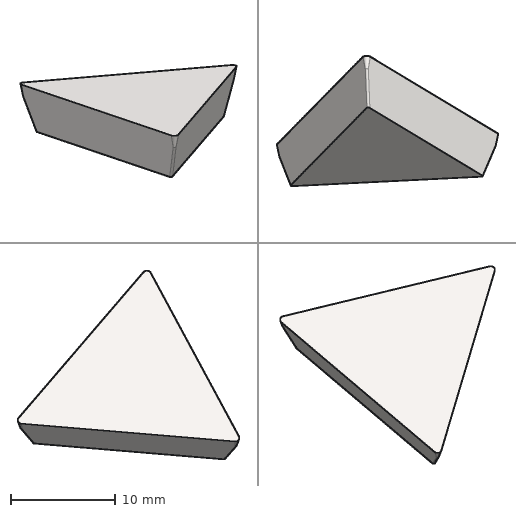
import cadquery as cq
import math

width = 21.4
height = 4.75
clearance_angle = 11.0
nose_radius = 0.4
nose_depth = 1.25

draft = math.tan(math.radians(clearance_angle))
lower_radius = nose_radius - nose_depth * draft

nose_center_spacing = width - 2 * nose_radius
top_inradius = nose_center_spacing / (2 * math.sqrt(3)) + nose_radius


def polar(radius, degrees):
    """Vector in the XY plane at the given angle from +X."""
    angle = math.radians(degrees)
    return cq.Vector(radius * math.cos(angle), radius * math.sin(angle), 0)


def corner_arc(depth, radius, corner_angle):
    """Start, middle and end of a corner's rounding at a depth below the top face."""
    inradius = top_inradius - depth * draft
    center_distance = 2 * (inradius - radius)
    center = polar(center_distance, corner_angle) + cq.Vector(0, 0, height - depth)
    return [center + polar(radius, corner_angle + turn) for turn in (-60, 0, 60)]


def outline(arcs):
    """Three corner arcs joined by straight sides."""
    edges = []
    for index, arc in enumerate(arcs):
        edges.append(cq.Edge.makeThreePointArc(*arc))
        edges.append(cq.Edge.makeLine(arcs[index - 1][-1], arc[0]))
    return cq.Wire.assembleEdges(edges)


def corner_face(lower_arc, upper_arc):
    """Ruled face between two corner arcs."""
    lower_edge = cq.Edge.makeThreePointArc(*lower_arc)
    upper_edge = cq.Edge.makeThreePointArc(*upper_arc)
    return cq.Face.makeRuledSurface(lower_edge, upper_edge)


levels = ((height, lower_radius), (nose_depth, lower_radius), (0, nose_radius))
corner_angles = (90, 210, 330)
arcs_by_level = [
    [corner_arc(depth, radius, angle) for angle in corner_angles]
    for depth, radius in levels
]

faces = [
    cq.Face.makeFromWires(outline(arcs_by_level[0])),
    cq.Face.makeFromWires(outline(arcs_by_level[-1])),
]

for lower_arcs, upper_arcs in zip(arcs_by_level, arcs_by_level[1:]):
    for lower_arc, upper_arc in zip(lower_arcs, upper_arcs):
        faces.append(corner_face(lower_arc, upper_arc))

for index in range(len(corner_angles)):
    rising_side = [arcs[index - 1][-1] for arcs in arcs_by_level]
    falling_side = [arcs[index][0] for arcs in reversed(arcs_by_level)]
    flank_wire = cq.Wire.makePolygon(rising_side + falling_side, close=True)
    faces.append(cq.Face.makeFromWires(flank_wire))

insert = cq.Solid.makeSolid(cq.Shell.makeShell(faces))
result = cq.Workplane(obj=insert)